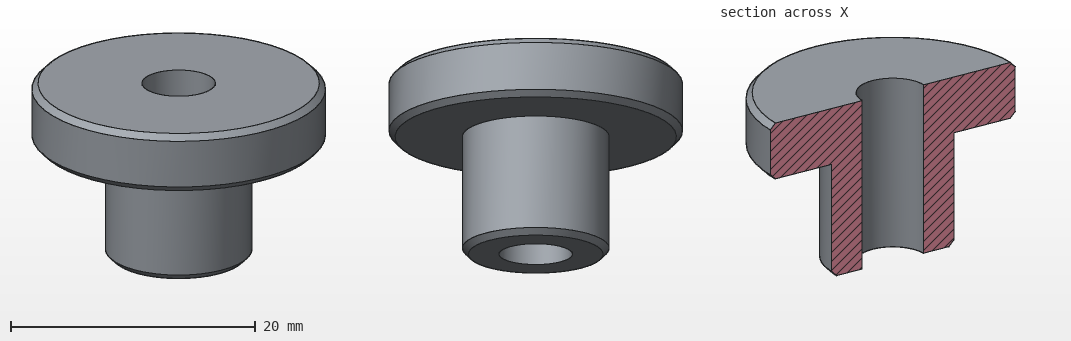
import cadquery as cq

flange_diameter = 24.0
stem_diameter = flange_diameter / 2
bore_diameter = flange_diameter / 4
total_height = 15.0
flange_thickness = total_height / 3
stem_length = total_height - flange_thickness
edge_chamfer = 0.5

stem = (
    cq.Workplane("XY")
    .circle(stem_diameter / 2)
    .extrude(stem_length)
    .faces("<Z")
    .chamfer(edge_chamfer)
)

flange = (
    cq.Workplane("XY")
    .workplane(offset=stem_length)
    .circle(flange_diameter / 2)
    .extrude(flange_thickness)
    .faces("<Z or >Z")
    .chamfer(edge_chamfer)
)

bore = cq.Workplane("XY").circle(bore_diameter / 2).extrude(total_height)

result = stem.union(flange).cut(bore)